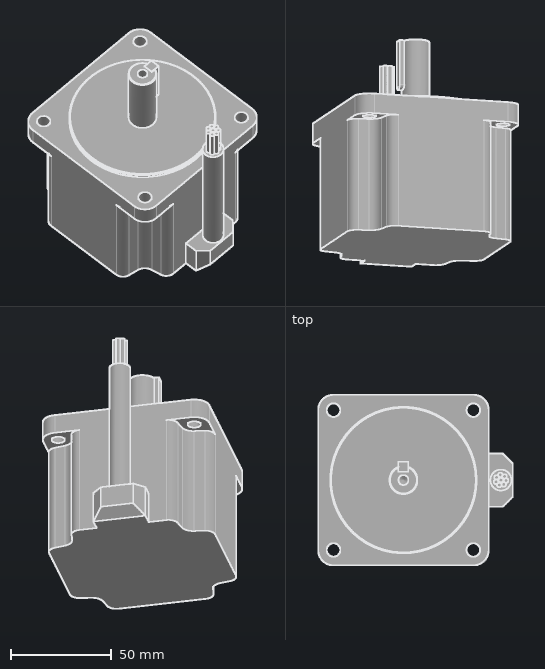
import cadquery as cq
import math

shaft_top = 103.5
shaft_length = 35.0
pilot_height = 2.0
flange_thickness = 10.0
pilot_top = shaft_top - shaft_length
flange_top = pilot_top - pilot_height
flange_bottom = flange_top - flange_thickness

flange_side = 85.0
hole_spacing = 69.6
hole_diameter = 6.6
flange_corner_radius = (flange_side - hole_spacing) / 2
pilot_diameter = 73.0
pilot_chamfer = 0.5

half_side = flange_side / 2
notch_mouth = 16.0
notch_wall_angle = 10.0
notch_depth = notch_mouth / (1 + math.tan(math.radians(notch_wall_angle)))
notch_root_radius = 6.0
notch_lip_radius = 5.0
notch_apex = half_side - notch_depth
notch_lip = half_side - notch_mouth

shaft_diameter = 14.0
shaft_chamfer = 0.3
centre_hole_diameter = 5.0
centre_hole_depth = 12.4
drill_point_angle = 118.0

key_width = 5.0
key_thickness = 5.0
key_length = 25.0
key_seat_y = 4.0

block_depth = 12.0
block_width = 26.6
block_height = 16.1
block_chamfer = 5.1

cable_x = half_side + block_depth / 2
cable_diameter = 10.5
cable_top = 85.5
wire_top = 100.6
wire_diameter = 2.3
wire_ring_radius = 2.6
wire_ring_count = 7
wire_ring_phase = -5.8


def cylinder(diameter, bottom, top, x=0.0, y=0.0):
    """Upright cylinder between two heights."""
    return cq.Workplane("XY", origin=(x, y, bottom)).circle(diameter / 2).extrude(top - bottom)


def is_on_diagonal(edge):
    """True for an upright edge midway between two sides, such as the root of a corner notch."""
    centre = edge.Center()
    return math.isclose(abs(centre.x), abs(centre.y), abs_tol=0.01)


def make_notched_housing():
    """Square housing whose four corners are relieved by rounded notches."""
    corner_points = [(half_side, notch_lip), (notch_apex, notch_apex), (notch_lip, half_side)]
    outline = []
    for quarter in range(4):
        turn = math.radians(90 * quarter)
        for x, y in corner_points:
            outline.append((
                x * math.cos(turn) - y * math.sin(turn),
                x * math.sin(turn) + y * math.cos(turn),
            ))
    housing = cq.Workplane("XY").polyline(outline).close().extrude(flange_bottom)

    housing = housing.edges("|Z").filter(lambda edge: not is_on_diagonal(edge)).fillet(notch_lip_radius)
    return housing.edges("|Z").filter(is_on_diagonal).fillet(notch_root_radius)


def make_flange():
    """Mounting flange with rounded corners, four through holes and the round pilot."""
    plate = (
        cq.Workplane("XY", origin=(0, 0, flange_bottom))
        .rect(flange_side, flange_side)
        .extrude(flange_thickness)
        .edges("|Z")
        .fillet(flange_corner_radius)
        .faces(">Z")
        .workplane()
        .rect(hole_spacing, hole_spacing, forConstruction=True)
        .vertices()
        .hole(hole_diameter)
    )
    pilot = cylinder(pilot_diameter, flange_top, pilot_top).faces(">Z").chamfer(pilot_chamfer)
    return plate.union(pilot)


def make_shaft():
    """Output shaft with a chamfered tip and a drilled centre hole."""
    shaft = cylinder(shaft_diameter, pilot_top, shaft_top).faces(">Z").chamfer(shaft_chamfer)
    hole_radius = centre_hole_diameter / 2
    hole_floor = shaft_top - centre_hole_depth
    point_depth = hole_radius / math.tan(math.radians(drill_point_angle / 2))
    drill = (
        cq.Workplane("XZ")
        .moveTo(0, shaft_top)
        .lineTo(hole_radius, shaft_top)
        .lineTo(hole_radius, hole_floor)
        .lineTo(0, hole_floor - point_depth)
        .close()
        .revolve(360, (0, 0, 0), (0, 1, 0))
    )
    return shaft.cut(drill)


def make_cable_block():
    """Block on the +X side, chamfered along its outer uprights and its outer lower edge."""
    return (
        cq.Workplane("XY", origin=(cable_x, 0, 0))
        .rect(block_depth, block_width)
        .extrude(block_height)
        .edges("|Z and >X")
        .chamfer(block_chamfer)
        .edges(">X and <Z")
        .chamfer(block_chamfer)
    )


def make_cable():
    """Jacketed cable ending in one central wire and a ring of wires around it."""
    cable = cylinder(cable_diameter, block_height, cable_top, cable_x)
    cable = cable.union(cylinder(wire_diameter, cable_top, wire_top, cable_x))
    for index in range(wire_ring_count):
        angle = math.radians(wire_ring_phase + 360 * index / wire_ring_count)
        wire_x = cable_x + wire_ring_radius * math.cos(angle)
        wire_y = wire_ring_radius * math.sin(angle)
        cable = cable.union(cylinder(wire_diameter, cable_top, wire_top, wire_x, wire_y))
    return cable


def make_key():
    """Key flush with the shaft tip, with a full round at its lower end."""
    key_bottom = shaft_top - key_length
    half_width = key_width / 2
    return (
        cq.Workplane("XZ", origin=(0, key_seat_y, 0))
        .moveTo(-half_width, shaft_top)
        .lineTo(-half_width, key_bottom + half_width)
        .threePointArc((0, key_bottom), (half_width, key_bottom + half_width))
        .lineTo(half_width, shaft_top)
        .close()
        .extrude(-key_thickness)
    )


def make_motor(key):
    """Housing, flange, shaft and cable as one body, with a keyway that fits the key."""
    motor = make_notched_housing()
    for feature in (make_flange(), make_shaft(), make_cable_block(), make_cable()):
        motor = motor.union(feature)
    return motor.cut(key).solids()


key = make_key()
motor = make_motor(key)

result = cq.Compound.makeCompound([motor.val(), key.val()])